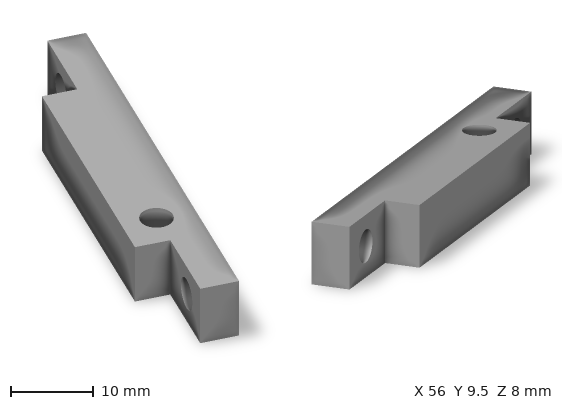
import cadquery as cq

bar_length = 56.0
total_depth = 9.5
height = 8.0
bar_depth = 5.0
end_tab_length = 11.0

hole_diameter = 4.2
end_hole_inset = 5.0
cross_hole_x = 40.0

block_length = bar_length - 2 * end_tab_length
bar_front_y = total_depth - bar_depth
cross_hole_y = bar_front_y


def box_at(x, y, length, depth):
    """Full-height box with its lower front left corner at (x, y, 0)."""
    return cq.Workplane("XY", origin=(x, y, 0)).box(length, depth, height, centered=False)


def end_hole(x):
    """Hole along Y through an end tab, at mid height."""
    back_face = cq.Workplane("XZ", origin=(x, total_depth, height / 2))
    return back_face.circle(hole_diameter / 2).extrude(bar_depth)


bar = box_at(0, bar_front_y, bar_length, bar_depth)
block = box_at(end_tab_length, 0, block_length, total_depth)
result = bar.union(block)

for hole_x in (end_hole_inset, bar_length - end_hole_inset):
    result = result.cut(end_hole(hole_x))

cross_hole = (
    cq.Workplane("XY")
    .center(cross_hole_x, cross_hole_y)
    .circle(hole_diameter / 2)
    .extrude(height)
)
result = result.cut(cross_hole)